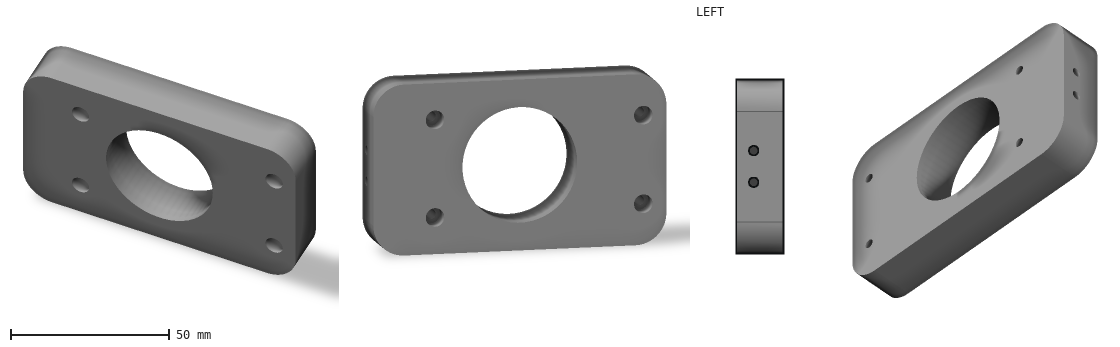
import cadquery as cq

LENGTH = 95.0
THICKNESS = 15.0
HEIGHT = 55.0
CORNER_RADIUS = 10.0

BORE_DIAMETER = 37.2

SCREW_HOLE_PAIRS = [(-27.5, 31.4), (40.0, 28.5)]
SCREW_DIAMETER = 3.2
COUNTERBORE_DIAMETER = 6.0
COUNTERBORE_DEPTH = 6.0

END_HOLE_DIAMETER = 3.0
END_HOLE_DEPTH = 10.0
END_HOLE_SPACING = 10.0
END_HOLE_Y = 2.0


def make_plate():
    """Rectangular plate with its four corners rounded."""
    plate = cq.Workplane("XY").box(LENGTH, THICKNESS, HEIGHT)
    return plate.edges("|Y").fillet(CORNER_RADIUS)


def cylinder_along_y(x, z, diameter, depth):
    """Cylinder running from the -Y face towards +Y."""
    front_face = cq.Workplane("XZ", origin=(x, -THICKNESS / 2, z))
    return front_face.circle(diameter / 2).extrude(-depth)


def make_screw_hole(x, z):
    """Through hole with a counterbore in the -Y face."""
    shank = cylinder_along_y(x, z, SCREW_DIAMETER, THICKNESS)
    return shank.union(cylinder_along_y(x, z, COUNTERBORE_DIAMETER, COUNTERBORE_DEPTH))


def make_end_hole(z):
    """Flat-bottomed hole running from the -X face towards +X."""
    end_face = cq.Workplane("YZ", origin=(-LENGTH / 2, END_HOLE_Y, z))
    return end_face.circle(END_HOLE_DIAMETER / 2).extrude(END_HOLE_DEPTH)


result = make_plate().cut(cylinder_along_y(0, 0, BORE_DIAMETER, THICKNESS))

for side in (-1, 1):
    for pair_x, pair_spacing in SCREW_HOLE_PAIRS:
        result = result.cut(make_screw_hole(pair_x, side * pair_spacing / 2))
    result = result.cut(make_end_hole(side * END_HOLE_SPACING / 2))